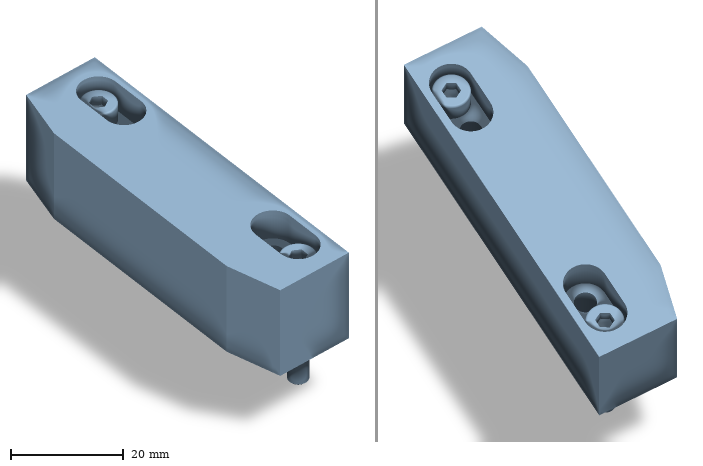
import cadquery as cq
import math

block_length = 70.0
block_depth = 19.0
block_height = 20.0
corner_length = 11.2
corner_angle = 15.0
corner_depth = corner_length * math.tan(math.radians(corner_angle))

slot_width = 8.0
slot_floor_depth = 6.5
screw_from_end = 7.5
screw_from_back = 5.45
screw_to_hole = 7.0
through_hole_diameter = 4.1

head_diameter = 7.0
head_height = 4.0
head_fillet = 0.4
shank_diameter = 4.0
shank_protrusion = 11.5
shank_chamfer = 0.5
socket_flats = 3.0
socket_depth = 2.0
socket_cone_angle = 120.0

half_length = block_length / 2
back_y = block_depth / 2
front_y = -back_y
screw_x = half_length - screw_from_end
hole_x = screw_x - screw_to_hole
screw_y = back_y - screw_from_back
slot_floor_z = block_height - slot_floor_depth


def make_block():
    """Block standing on Z = 0 with both front corners cut at a shallow angle."""
    return (
        cq.Workplane("XY")
        .moveTo(-half_length, back_y)
        .lineTo(half_length, back_y)
        .lineTo(half_length, front_y + corner_depth)
        .lineTo(half_length - corner_length, front_y)
        .lineTo(-half_length + corner_length, front_y)
        .lineTo(-half_length, front_y + corner_depth)
        .close()
        .extrude(block_height)
    )


def make_slot_cut(side):
    """Round-ended slot together with the hole through its floor."""
    slot = (
        cq.Workplane("XY", origin=(side * (screw_x + hole_x) / 2, screw_y, slot_floor_z))
        .slot2D(screw_to_hole + slot_width, slot_width)
        .extrude(slot_floor_depth)
    )
    hole = (
        cq.Workplane("XY", origin=(side * hole_x, screw_y, 0))
        .circle(through_hole_diameter / 2)
        .extrude(block_height)
    )
    return slot.union(hole)


def make_socket():
    """Hexagonal socket ending in a conical point, with its mouth at Z = 0."""
    corner_diameter = socket_flats / math.cos(math.pi / 6)
    cone_radius = corner_diameter / 2
    cone_depth = cone_radius / math.tan(math.radians(socket_cone_angle / 2))
    full_depth = socket_depth + cone_depth
    hexagon = cq.Workplane("XY").polygon(6, corner_diameter).extrude(-full_depth)
    pointed_drill = (
        cq.Workplane("XZ")
        .lineTo(cone_radius, 0)
        .lineTo(cone_radius, -socket_depth)
        .lineTo(0, -full_depth)
        .close()
        .revolve(360, (0, 0), (0, 1))
    )
    return hexagon.intersect(pointed_drill)


def make_screw(side):
    """Screw seated on the slot floor, its shank reaching out below the block."""
    shank = (
        cq.Workplane("XY", origin=(0, 0, -shank_protrusion))
        .circle(shank_diameter / 2)
        .extrude(shank_protrusion + slot_floor_z)
        .faces("<Z")
        .chamfer(shank_chamfer)
    )
    head = (
        cq.Workplane("XY", origin=(0, 0, slot_floor_z))
        .circle(head_diameter / 2)
        .extrude(head_height)
        .faces(">Z")
        .edges()
        .fillet(head_fillet)
    )
    socket = make_socket().translate((0, 0, slot_floor_z + head_height))
    return shank.union(head).cut(socket).translate((side * screw_x, screw_y, 0))


result = make_block()
for side in (-1, 1):
    result = result.cut(make_slot_cut(side)).union(make_screw(side))